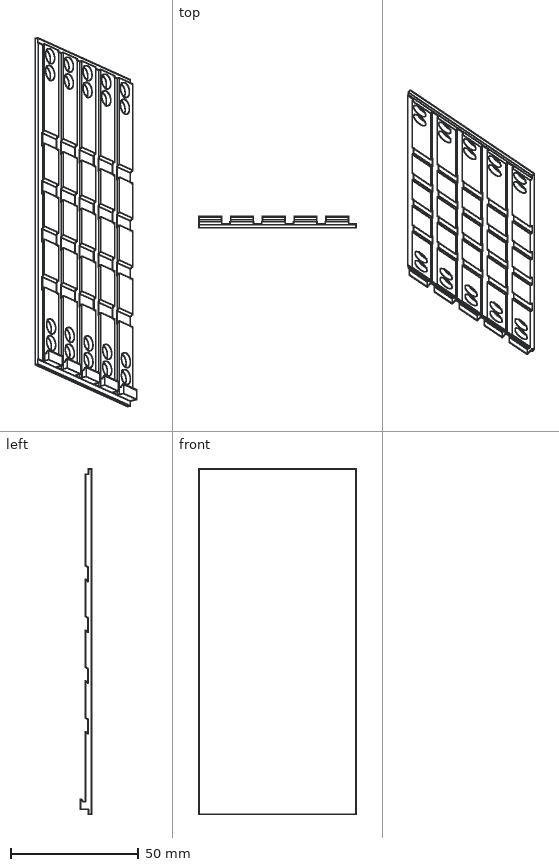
import cadquery as cq

panel_width = 62.0
panel_height = 136.0
lip_thickness = 1.3
lip_height = 2.0
web_thickness = 1.6

rib_count = 5
rib_pitch = 12.5

first_rib_center = 4.425
rib_width = 9.4
rib_back = 2.5

groove_count = 4
groove_pitch = 20.0
first_groove_bottom = 32.6
groove_height = 5.4
groove_drop = 0.85

first_hook_left = 0.0
hook_width = 9.0
hook_back = 4.5
hook_top = 6.0
hook_valley = 5.0
hook_tip_thickness = 0.3

pocket_diameter = 6.0
pocket_skin = 0.4
pocket_spacing = 7.0
first_lower_pocket = (4.65, 10.5)
first_upper_pocket = (5.3, 123.0)


def block(x_min, x_max, y_max, z_min, z_max):
    """Box from the front face (y = 0) back to y_max."""
    size = (x_max - x_min, y_max, z_max - z_min)
    return cq.Workplane("XY").box(*size, centered=False).translate((x_min, 0, z_min))


def side_profile(points, x_min, width):
    """Closed (y, z) outline extruded along +X from x_min."""
    return cq.Workplane("YZ", origin=(x_min, 0, 0)).polyline(points).close().extrude(width)


def make_panel():
    """Front plate, thinner along its top and bottom edges."""
    plate = block(0, panel_width, lip_thickness, 0, panel_height)
    web = block(0, panel_width, web_thickness, lip_height, panel_height - lip_height)
    return plate.union(web)


def make_rib(shift):
    """Vertical rib, cut off where it would overhang the left side of the panel."""
    center = first_rib_center + shift
    left = max(center - rib_width / 2, 0)
    right = center + rib_width / 2
    return block(left, right, rib_back, lip_height, panel_height - lip_height)


def make_hook(shift):
    """Upward hook; the inner face of its tip slopes at 45 degrees."""
    slope_top = hook_back - hook_tip_thickness
    slope_foot = slope_top - (hook_top - hook_valley)
    outline = [
        (0, lip_height),
        (hook_back, lip_height),
        (hook_back, hook_top),
        (slope_top, hook_top),
        (slope_foot, hook_valley),
        (0, hook_valley),
    ]
    return side_profile(outline, first_hook_left + shift, hook_width)


def make_groove(shift, bottom):
    """Groove across a rib; both of its walls slope down toward its floor."""
    outline = [
        (rib_back, bottom),
        (rib_back, bottom + groove_height),
        (lip_thickness, bottom + groove_height - groove_drop),
        (lip_thickness, bottom - groove_drop),
    ]
    return side_profile(outline, first_rib_center + shift - rib_width / 2, rib_width)


def make_pocket(x, z):
    """Round blind pocket that leaves a skin at the front face."""
    back_plane = cq.Workplane("XZ", origin=(x, rib_back, z))
    return back_plane.circle(pocket_diameter / 2).extrude(rib_back - pocket_skin)


result = make_panel()
for rib_index in range(rib_count):
    rib_shift = rib_index * rib_pitch
    result = result.union(make_rib(rib_shift)).union(make_hook(rib_shift))
    for groove_index in range(groove_count):
        groove_bottom = first_groove_bottom + groove_index * groove_pitch
        result = result.cut(make_groove(rib_shift, groove_bottom))
    for pocket_x, pocket_z in (first_lower_pocket, first_upper_pocket):
        for pair_offset in (0, pocket_spacing):
            result = result.cut(make_pocket(pocket_x + rib_shift, pocket_z + pair_offset))